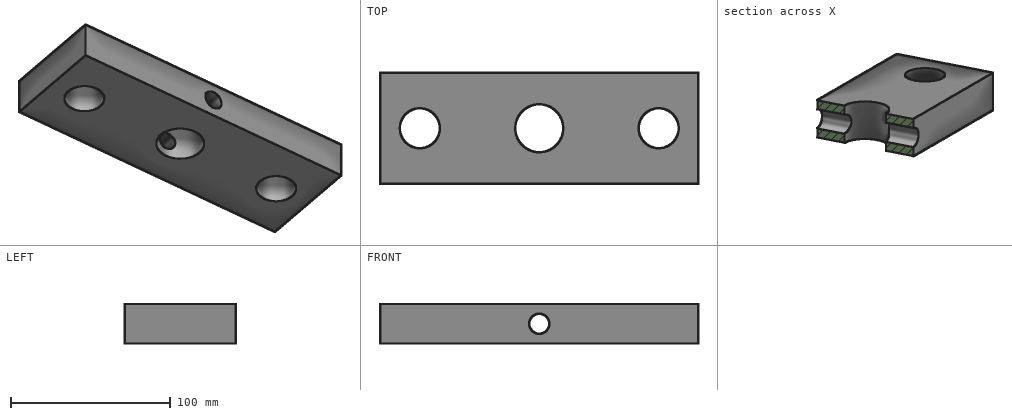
import cadquery as cq

length = 200.0
width = 70.0
thickness = 25.0

centre_hole_diameter = 30.0
side_hole_diameter = 25.0
side_hole_spacing = 150.0

cross_hole_diameter = 12.5


def make_block():
    """Plain rectangular block centred on the origin."""
    return cq.Workplane("XY").box(length, width, thickness)


def cut_vertical_holes(body):
    """Centre hole with a smaller hole on each side, all through the thickness."""
    side_x = side_hole_spacing / 2
    body = body.faces(">Z").workplane(origin=(0, 0, 0)).hole(centre_hole_diameter)
    side_points = [(-side_x, 0), (side_x, 0)]
    return body.faces(">Z").workplane(origin=(0, 0, 0)).pushPoints(side_points).hole(side_hole_diameter)


def cut_cross_hole(body):
    """Hole along Y through both long sides, crossing the centre hole."""
    cutter = cq.Workplane("XZ").circle(cross_hole_diameter / 2).extrude(width, both=True)
    return body.cut(cutter)


result = cut_cross_hole(cut_vertical_holes(make_block()))